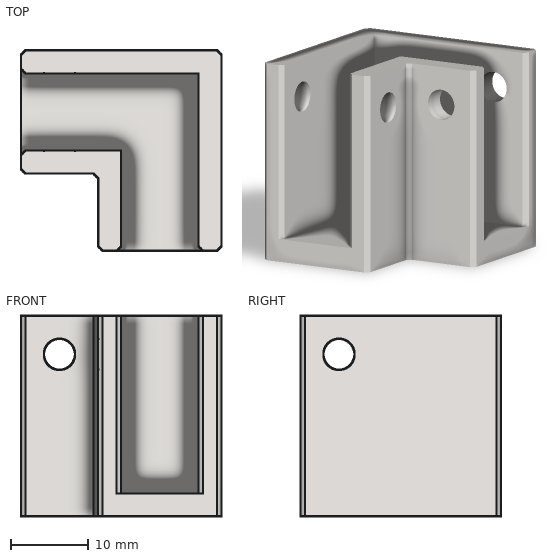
import cadquery as cq

size = 26.0
wall = 3.0
channel_width = 10.0
chamfer = 0.6
hole_diameter = 4.0
hole_from_end = 5.0
hole_from_top = 5.0

notch = size - channel_width - 2 * wall
channel_start = notch + wall
channel_end = size - wall
hole_height = size - hole_from_top


def make_body():
    """Solid L-shaped block with all its upright edges chamfered."""
    outline = [
        (0, notch),
        (notch, notch),
        (notch, 0),
        (size, 0),
        (size, size),
        (0, size),
    ]
    block = cq.Workplane("XY").polyline(outline).close().extrude(size)
    return block.edges("|Z").chamfer(chamfer)


def make_channel():
    """L-shaped channel above the floor, flared by the chamfer at both open ends."""
    outline = [
        (0, channel_start - chamfer),
        (chamfer, channel_start),
        (channel_start, channel_start),
        (channel_start, chamfer),
        (channel_start - chamfer, 0),
        (channel_end + chamfer, 0),
        (channel_end, chamfer),
        (channel_end, channel_end),
        (chamfer, channel_end),
        (0, channel_end + chamfer),
    ]
    channel = cq.Workplane("XY").workplane(offset=wall)
    return channel.polyline(outline).close().extrude(size - wall)


def make_hole(plane_name, depth):
    """Cylinder across one arm, running through both of its walls."""
    hole = cq.Workplane(plane_name).center(hole_from_end, hole_height)
    return hole.circle(hole_diameter / 2).extrude(depth)


hole_along_x = make_hole("YZ", size)
hole_along_y = make_hole("XZ", -size)

result = make_body().cut(make_channel()).cut(hole_along_x).cut(hole_along_y)